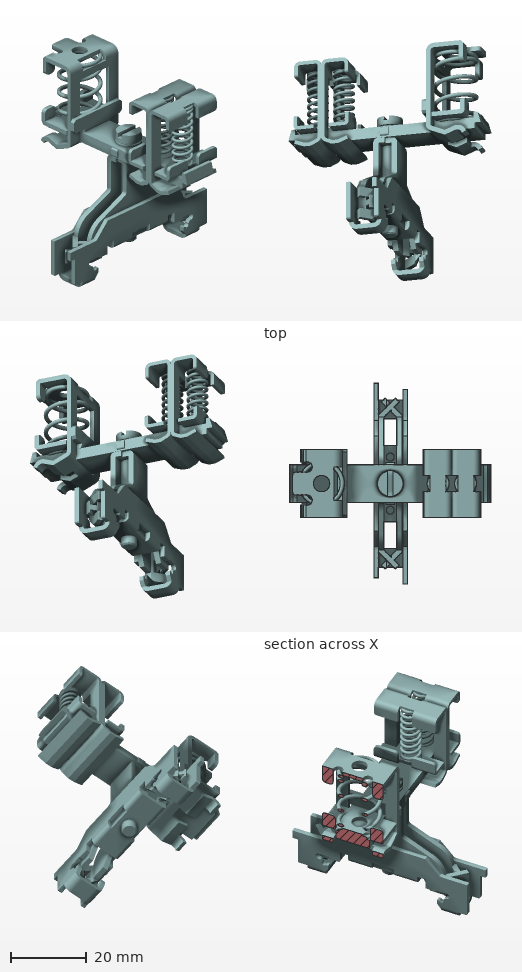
import cadquery as cq
import math


BAR_HALF_LENGTH = 26.5
BAR_HALF_BODY = 24.85
BAR_WIDTH = 10.0
BAR_BOTTOM = 31.0
BAR_TOP = 34.0
HOOK_TOP = 35.5
HOOK_LEDGE = 32.55
HOOK_INNER = 24.6
HOOK_CREST = 25.65

CLAMP_WIDTH = 18.0
WINDOW_HALF_WIDTH = 5.5
WINDOW_BOTTOM = BAR_BOTTOM - 0.1
PAD_NECK_WIDTH = 10.0

LARGE_SHEET = 1.25
LARGE_WALL_X = -13.25
LARGE_TOP = 54.45
LARGE_SPRING_X = -18.1

TWIN_SHEET = 1.0
TWIN_CENTER_X = 16.26
TWIN_TOP = 52.9
TWIN_SPRING_OFFSET = 3.62
TWIN_NOTCH_WIDTH = 4.2

SCREW_DIAMETER = 4.2
SCREW_TIP = 5.0
HEAD_DIAMETER = 7.05
HEAD_TOP_DIAMETER = 6.75
HEAD_TOP = 37.45
HEAD_BOTTOM = 35.0

BRACKET_HALF_WIDTH = 3.13
BRACKET_SHEET = 1.45

FRAME_CENTER_X = 0.1
FRAME_WIDTH = 8.9
FRAME_WEB_BOTTOM = 7.4
WEB_END = 10.1
FRAME_EDGE = 9.84
FRAME_SHOULDER = 12.35
FRAME_EAR_TIP = 26.5
FRAME_END = 24.87

SHARP = 0
FULL = 80.0


def block(x0, x1, y0, y1, z0, z1):
    """Box between two opposite corners."""
    return cq.Workplane("XY").box(x1 - x0, y1 - y0, z1 - z0, centered=False).translate((x0, y0, z0))


def cylinder(x, y, z0, z1, diameter):
    return cq.Workplane("XY", origin=(x, y, z0)).circle(diameter / 2).extrude(z1 - z0)


def strip_side(path, radii, offset):
    """One face line of a bent strip: start point, then line ends and arc (middle, end) pairs."""
    pieces = []
    headings = [math.atan2(b[1] - a[1], b[0] - a[0]) for a, b in zip(path, path[1:])]

    def beside(point, heading, distance):
        return (point[0] - distance * math.sin(heading), point[1] + distance * math.cos(heading))

    pieces.append([beside(path[0], headings[0], offset)])
    for corner, radius, before, after in zip(path[1:], radii, headings, headings[1:]):
        turn = math.remainder(after - before, 2 * math.pi)
        if radius == SHARP:
            middle = before + turn / 2
            pieces.append([beside(corner, middle, offset / math.cos(turn / 2))])
            continue
        setback = radius * math.tan(abs(turn) / 2)
        start = (corner[0] - setback * math.cos(before), corner[1] - setback * math.sin(before))
        center = beside(start, before, math.copysign(radius, turn))
        to_face = offset - math.copysign(radius, turn)
        arc = [beside(center, before + turn * share, to_face) for share in (0, 0.5, 1)]
        pieces.append(arc)
    pieces.append([beside(path[-1], headings[-1], offset)])
    return pieces


def bent_strip(path, radii, thickness, width):
    """Bent sheet strip: mid-line path in XZ with one bend radius per corner, centred on Y = 0."""
    left = strip_side(path, radii, thickness / 2)
    right = [piece[::-1] for piece in strip_side(path, radii, -thickness / 2)[::-1]]
    sketch = cq.Workplane("XZ").moveTo(*left[0][0])
    for piece in left[1:] + right:
        sketch = sketch.lineTo(*piece[0])
        if len(piece) > 1:
            sketch = sketch.threePointArc(piece[1], piece[2])
    return sketch.close().extrude(width / 2, both=True)


def side_tabs(x0, x1, z0, z1, inner_y, corner, rounded):
    """Two ears at the ends of the clamp width, with their free corners rounded."""
    outer_y = CLAMP_WIDTH / 2
    ear = block(x0, x1, inner_y, outer_y, z0, z1).edges("|X and " + rounded).fillet(corner)
    return ear.union(ear.mirror("XZ"))


def coil_spring(z_low, z_high, mean_radius, wire, pitch, phase_height):
    """Right-handed coil about Z with flat end rings; the coil passes +X at phase_height."""
    height = z_high - z_low
    start_angle = 360 * (z_low - phase_height) / pitch
    helix = cq.Workplane(obj=cq.Wire.makeHelix(pitch, height, mean_radius))
    coil = cq.Workplane("XZ", origin=(mean_radius, 0, 0)).circle(wire / 2).sweep(helix, isFrenet=True)
    coil = coil.rotate((0, 0, 0), (0, 0, 1), start_angle)
    ring = cq.Workplane(obj=cq.Solid.makeTorus(mean_radius, wire / 2))
    spring = coil.union(ring, clean=False).union(ring.translate((0, 0, height)), clean=False)
    return spring.translate((0, 0, z_low))


def bar():
    half = [
        (BAR_HALF_BODY, BAR_BOTTOM),
        (BAR_HALF_BODY, HOOK_LEDGE),
        (BAR_HALF_LENGTH, HOOK_LEDGE),
        (HOOK_CREST, HOOK_TOP),
        (HOOK_INNER, HOOK_TOP),
        (HOOK_INNER, BAR_TOP),
    ]
    outline = half + [(-x, z) for x, z in reversed(half)]
    return cq.Workplane("XZ").polyline(outline).close().extrude(BAR_WIDTH / 2, both=True)


def screw():
    neck_diameter = 6.0
    washer_top = BAR_TOP + 0.6
    slot_width = 1.4
    slot_depth = 1.2
    tip_chamfer = 0.4
    shank = cylinder(0, 0, SCREW_TIP, BAR_TOP, SCREW_DIAMETER).faces("<Z").chamfer(tip_chamfer)
    washer = cylinder(0, 0, BAR_TOP, washer_top, HEAD_DIAMETER)
    neck = cylinder(0, 0, washer_top, HEAD_BOTTOM, neck_diameter)
    head_height = HEAD_TOP - HEAD_BOTTOM
    taper = math.degrees(math.atan2((HEAD_DIAMETER - HEAD_TOP_DIAMETER) / 2, head_height))
    head = cq.Workplane("XY", origin=(0, 0, HEAD_BOTTOM)).circle(HEAD_DIAMETER / 2)
    head = head.extrude(head_height, taper=taper)
    slot = block(-slot_width / 2, slot_width / 2, -FULL, FULL, HEAD_TOP - slot_depth, HEAD_TOP)
    return shank.union(washer).union(neck).union(head.cut(slot))


LARGE_TONGUE_TIP = -25.8
LARGE_TONGUE_HALF = 3.0
LARGE_EAR_X = -22.9
LARGE_EAR_INNER_Y = 5.7
LARGE_EAR_BOTTOM = 48.9
LARGE_HOLE = 4.3


def large_clamp():
    mid_top = LARGE_TOP - LARGE_SHEET / 2
    wall_top_inside = LARGE_TOP - LARGE_SHEET
    window_top = 49.7
    window_depth = 1.3 * LARGE_SHEET
    ear_corner = 1.2
    ear_bend = 1.1
    tongue_corner = 0.85
    wall_outer = LARGE_WALL_X + LARGE_SHEET / 2
    path = [
        (LARGE_EAR_X + LARGE_SHEET / 2, mid_top),
        (LARGE_WALL_X, mid_top),
        (LARGE_WALL_X, 31.1),
        (-17.85, 29.2),
        (-20.85, 30.3),
        (-22.4, 30.3),
        (-23.1, 28.9),
    ]
    top_bend = 1.6
    leg_bend = 1.3
    curl_bend = 1.9
    body = bent_strip(path, [top_bend, leg_bend, SHARP, SHARP, curl_bend], LARGE_SHEET, CLAMP_WIDTH)

    relief_width = LARGE_EAR_INNER_Y - LARGE_TONGUE_HALF
    relief_middle = LARGE_TONGUE_HALF + relief_width / 2
    relief_end = -20.6
    for side in (-1, 1):
        slot = cylinder(relief_end - relief_width / 2, side * relief_middle,
                        wall_top_inside, LARGE_TOP, relief_width)
        slot = slot.union(block(LARGE_TONGUE_TIP, relief_end - relief_width / 2,
                                side * relief_middle - relief_width / 2,
                                side * relief_middle + relief_width / 2, wall_top_inside, LARGE_TOP))
        body = body.cut(slot)

    tongue = block(LARGE_TONGUE_TIP, relief_end, -LARGE_TONGUE_HALF, LARGE_TONGUE_HALF,
                   wall_top_inside, LARGE_TOP).edges("|Z and <X").fillet(tongue_corner)
    ears = side_tabs(LARGE_EAR_X, LARGE_EAR_X + LARGE_SHEET, LARGE_EAR_BOTTOM, LARGE_TOP,
                     LARGE_EAR_INNER_Y, ear_corner, "<Z")
    ears = ears.edges("|Y and >Z and <X").fillet(ear_bend)
    body = body.union(tongue).union(ears)

    body = body.cut(block(wall_outer - window_depth, wall_outer, -WINDOW_HALF_WIDTH, WINDOW_HALF_WIDTH,
                          WINDOW_BOTTOM, window_top))
    bend_slot_half = 4.4
    bend_slot_inner = -14.85
    bend_slot_bottom = 51.9
    body = body.cut(block(bend_slot_inner, wall_outer, -bend_slot_half, bend_slot_half,
                          bend_slot_bottom, LARGE_TOP))
    body = body.cut(cylinder(LARGE_SPRING_X, 0, wall_top_inside, LARGE_TOP, LARGE_HOLE))

    leg_tip = -24.5
    leg_middle_end = -20.7
    leg_slot_half = 1.65
    leg_slot_end = -15.5
    leg_bottom = 28.0
    body = body.cut(block(leg_tip, leg_middle_end, -LARGE_EAR_INNER_Y, LARGE_EAR_INNER_Y,
                          leg_bottom, BAR_BOTTOM))
    return body.cut(block(leg_tip, leg_slot_end, -leg_slot_half, leg_slot_half, leg_bottom, BAR_BOTTOM))


def large_pad():
    top = BAR_TOP + LARGE_SHEET
    ear_x = -23.3
    ear_inner_y = 5.07
    ear_top = 38.55
    body_end = -14.2
    flange_x = -12.65
    flange_top = 39.2
    flange_bottom = 35.3
    flange_corner = 0.7
    tongue_tip = -24.55
    tongue_half = 3.2
    corner = 1.0
    ear_bend = 1.1
    flange_bend = 1.0
    relief_diameter = 2.0
    half = CLAMP_WIDTH / 2
    plate = block(ear_x + LARGE_SHEET, body_end, -half, half, BAR_TOP, top)
    plate = plate.union(block(tongue_tip, body_end, -tongue_half, tongue_half, BAR_TOP, top)
                        .edges("|Z and <X").fillet(corner))
    ears = side_tabs(ear_x, ear_x + LARGE_SHEET, BAR_TOP, ear_top, ear_inner_y, corner, ">Z")
    ears = ears.edges("|Y and <Z and <X").fillet(ear_bend)
    plate = plate.union(ears)
    for side in (-1, 1):
        plate = plate.cut(cylinder(ear_x + LARGE_SHEET, side * (ear_inner_y - relief_diameter / 2),
                                   BAR_TOP, top, relief_diameter))
    neck_half = PAD_NECK_WIDTH / 2
    neck = block(body_end, flange_x + LARGE_SHEET, -neck_half, neck_half, BAR_TOP, top)
    flange = block(flange_x, flange_x + LARGE_SHEET, -half, half, flange_bottom, flange_top)
    flange = flange.edges("|X").chamfer(flange_corner)
    rise = block(flange_x, flange_x + LARGE_SHEET, -neck_half, neck_half, BAR_TOP, flange_top)
    rise = rise.edges("|Y and <Z and >X").fillet(flange_bend)
    neck = neck.edges("|Y and <Z and >X").fillet(flange_bend)
    pad = plate.union(neck).union(rise).union(flange)
    return pad.cut(cylinder(LARGE_SPRING_X, 0, BAR_TOP, top, LARGE_HOLE))


def large_spring():
    wire = 1.15
    mean_radius = 5.47
    pitch = 5.05
    low = BAR_TOP + 0.2
    high = LARGE_TOP - LARGE_SHEET - 0.45
    crossing = 44.15
    spring = coil_spring(low, high, mean_radius, wire, pitch, crossing)
    return spring.translate((LARGE_SPRING_X, 0, 0))


TWIN_EAR_X = 7.42


def twin_clamp():
    """The small clamp on the +X side of the back-to-back plane."""
    wall = TWIN_CENTER_X + TWIN_SHEET / 2
    ear = TWIN_CENTER_X + TWIN_EAR_X - TWIN_SHEET / 2
    mid_top = TWIN_TOP - TWIN_SHEET / 2
    ear_bottom = 48.67
    ear_corner = 0.65
    window_top = 49.2
    bend = 1.1
    path = [
        (ear, ear_bottom),
        (ear, mid_top),
        (wall, mid_top),
        (wall, 30.75),
        (19.2, 29.65),
        (20.9, 29.65),
        (23.5, 30.6),
    ]
    body = bent_strip(path, [bend, bend, bend, SHARP, SHARP], TWIN_SHEET, CLAMP_WIDTH)
    ear_end = cq.selectors.BoxSelector((ear - TWIN_SHEET, -FULL, ear_bottom - 0.1),
                                       (ear + TWIN_SHEET, FULL, ear_bottom + 0.1))
    body = body.edges("|X").edges(ear_end).fillet(ear_corner)
    notch_half = TWIN_NOTCH_WIDTH / 2
    bend_size = bend + TWIN_SHEET / 2
    body = body.cut(block(ear + TWIN_SHEET / 2 - bend_size, FULL, -notch_half, notch_half,
                          ear_bottom, TWIN_TOP))
    body = body.cut(block(TWIN_CENTER_X, TWIN_CENTER_X + bend_size, -notch_half, notch_half,
                          ear_bottom, TWIN_TOP))
    return body.cut(block(TWIN_CENTER_X, TWIN_CENTER_X + TWIN_SHEET, -WINDOW_HALF_WIDTH, WINDOW_HALF_WIDTH,
                          WINDOW_BOTTOM, window_top))


def twin_pad():
    """Pressure pad under the +X small spring, with its half of the neck."""
    ear_outer = TWIN_CENTER_X + 7.6
    ear_top = 37.97
    ear_bend = 0.7
    ear_corner = 1.0
    body_start = TWIN_CENTER_X + 2.1
    notch_half = TWIN_NOTCH_WIDTH / 2
    top = BAR_TOP + TWIN_SHEET
    mid = BAR_TOP + TWIN_SHEET / 2
    pad = bent_strip([(body_start, mid), (ear_outer - TWIN_SHEET / 2, mid),
                      (ear_outer - TWIN_SHEET / 2, ear_top)], [ear_bend], TWIN_SHEET, CLAMP_WIDTH)
    pad = pad.cut(block(ear_outer - TWIN_SHEET - ear_bend / 2, ear_outer, -notch_half, notch_half,
                        BAR_TOP, ear_top))
    pad = pad.edges("|X and >Z").fillet(ear_corner)
    neck = block(TWIN_CENTER_X, body_start, -PAD_NECK_WIDTH / 2, PAD_NECK_WIDTH / 2, BAR_TOP, top)
    return pad.union(neck)


def twin_spring():
    """Small spring about the Z axis."""
    wire = 0.85
    mean_radius = 2.48
    pitch = 2.0
    low = BAR_TOP + TWIN_SHEET
    high = TWIN_TOP - TWIN_SHEET
    crossing = 44.87
    return coil_spring(low, high, mean_radius, wire, pitch, crossing)


def twin_station():
    half = twin_clamp().union(twin_pad())
    return half.union(half.mirror("YZ", (TWIN_CENTER_X, 0, 0)))


ARM_START_Y = 17.53
ARM_TOP = 11.55
ARM_SPLIT_TOP = 9.05
ARM_SPLIT_BOTTOM = 5.6
ARM_BOTTOM = 3.05


def bracket_half_profile(post_half):
    """Outline for +Y, from the frame web up to the top of the post, as a solid for x > 0."""
    web_top = FRAME_WEB_BOTTOM + LARGE_SHEET
    plate_bottom = 5.45
    slope_end = (12.9, 17.0)
    slope_grade = 0.44
    foot_radius = 1.1
    foot = slope_end[1] + slope_grade * (slope_end[0] - post_half)
    foot_edge = cq.selectors.NearestToPointSelector((BRACKET_HALF_WIDTH / 2, post_half, foot))
    return (
        cq.Workplane("YZ")
        .moveTo(0, web_top)
        .lineTo(WEB_END, web_top)
        .lineTo(WEB_END, FRAME_EDGE)
        .lineTo(10.85, FRAME_EDGE)
        .lineTo(13.35, plate_bottom)
        .lineTo(ARM_START_Y, plate_bottom)
        .lineTo(ARM_START_Y, ARM_TOP)
        .lineTo(17.3, 12.5)
        .threePointArc((15.95, 14.95), slope_end)
        .lineTo(post_half, foot)
        .lineTo(post_half, BAR_BOTTOM)
        .lineTo(0, BAR_BOTTOM)
        .close()
        .extrude(BRACKET_HALF_WIDTH)
        .edges(foot_edge)
        .fillet(foot_radius)
    )


def bracket_arms():
    """Arms at the +Y end: a forked arm from the -X plate and a single one from the +X plate."""
    outer = -BRACKET_HALF_WIDTH
    inner = outer + BRACKET_SHEET
    face = 21.2
    back = face - BRACKET_SHEET * math.sqrt(2)
    tip = 23.9
    plan = [
        (outer, ARM_START_Y),
        (inner, ARM_START_Y),
        (inner, back + inner),
        ((tip - back) / 2, (tip + back) / 2),
        ((tip - face) / 2, (tip + face) / 2),
        (outer, face + outer),
    ]
    arm = (
        cq.Workplane("XY", origin=(0, 0, ARM_BOTTOM)).polyline(plan).close().extrude(ARM_TOP - ARM_BOTTOM)
    )
    slope_start = 5.3
    slope_end_x = -1.13
    below = (
        cq.Workplane("XZ")
        .polyline([(outer, ARM_BOTTOM), (slope_end_x, ARM_BOTTOM), (outer, slope_start)])
        .close()
        .extrude(FULL, both=True)
    )
    fork_root_x = -1.2
    notch = block(fork_root_x, FULL, 0, FULL, ARM_SPLIT_BOTTOM, ARM_SPLIT_TOP)
    forked = arm.cut(below).cut(notch)

    root_x = 0.3
    single = arm.mirror("YZ").cut(block(-FULL, root_x, 0, FULL, ARM_SPLIT_TOP, ARM_TOP))
    single = single.cut(block(-FULL, FULL, 0, FULL, ARM_BOTTOM, ARM_SPLIT_BOTTOM))
    neck_depth = 1.0
    neck_start_x = -1.05
    for low in (ARM_SPLIT_BOTTOM, ARM_SPLIT_TOP - neck_depth):
        single = single.cut(block(neck_start_x, root_x, 0, FULL, low, low + neck_depth))
    return forked.union(single)


def inner_bracket():
    bend = 1.2
    inner_x = BRACKET_HALF_WIDTH - BRACKET_SHEET
    sheets = block(-BRACKET_HALF_WIDTH, BRACKET_HALF_WIDTH, -ARM_START_Y, ARM_START_Y, 0, BAR_BOTTOM)
    sheets = sheets.edges("|Y and >Z").fillet(bend)
    sheets = sheets.cut(block(-inner_x, inner_x, -FULL, FULL, 0, BAR_BOTTOM - BRACKET_SHEET))
    wide = bracket_half_profile(4.9)
    narrow = bracket_half_profile(4.05)
    far = wide.union(narrow.mirror("XZ"))
    near = far.rotate((0, 0, 0), (0, 0, 1), 180)
    bracket = sheets.intersect(far.union(near))

    arms = bracket_arms()
    bracket = bracket.union(arms).union(arms.mirror("XZ"))

    tab_half = 1.1
    tab_reach = 5.5
    tab_bottom = 31.4
    tab_top = 33.75
    tab = block(-tab_half, tab_half, -tab_reach, tab_reach, tab_bottom, tab_top)
    tab = tab.edges("|X").fillet(tab_reach - BAR_WIDTH / 2 - 0.05)
    return bracket.union(tab)


def frame_half_plate():
    """The +Y half of a frame plate, thick enough to cut a wall of the channel."""
    top_edge = 16.8
    foot = 2.05
    return (
        cq.Workplane("YZ")
        .moveTo(0, FRAME_EDGE)
        .lineTo(12.55, FRAME_EDGE)
        .lineTo(12.55, 6.85)
        .lineTo(15.5, 6.85)
        .lineTo(15.9, 7.25)
        .lineTo(18.75, 7.25)
        .threePointArc((19.65, 6.35), (18.75, 5.45))
        .lineTo(18.3, 5.35)
        .lineTo(17.85, 4.7)
        .threePointArc((17.75, 4.0), (17.1, 3.7))
        .lineTo(16.6, 4.1)
        .lineTo(16.0, 4.1)
        .lineTo(16.0, 2.9)
        .lineTo(17.05, 1.5)
        .lineTo(17.05, 0)
        .lineTo(22.1, 0)
        .lineTo(22.1, foot)
        .lineTo(24.6, foot)
        .lineTo(FRAME_END, foot + 0.3)
        .lineTo(FRAME_END, FRAME_SHOULDER)
        .lineTo(17.4, FRAME_SHOULDER)
        .lineTo(16.65, FRAME_SHOULDER + 0.15)
        .lineTo(12.5, top_edge)
        .lineTo(0, top_edge)
        .close()
        .extrude(FRAME_WIDTH)
    )


def outer_frame():
    left = FRAME_CENTER_X - FRAME_WIDTH / 2
    right = FRAME_CENTER_X + FRAME_WIDTH / 2
    mid = LARGE_SHEET / 2
    bend = 1.45
    rim = 17.0
    path = [(left + mid, rim), (left + mid, mid), (right - mid, mid), (right - mid, rim)]
    channel = bent_strip(path, [bend, bend], LARGE_SHEET, 2 * FRAME_EAR_TIP)
    half = frame_half_plate()
    ear = block(0, FRAME_WIDTH, -FRAME_EAR_TIP, -FRAME_END, FRAME_EDGE, FRAME_SHOULDER)
    plate = half.union(half.mirror("XZ")).union(ear)
    far = plate.translate((FRAME_CENTER_X, 0, 0))
    near = plate.rotate((0, 0, 0), (0, 0, 1), 180).translate((FRAME_CENTER_X, 0, 0))
    frame = channel.intersect(far.union(near))

    web_mid = FRAME_WEB_BOTTOM + mid
    web_path = [
        (left + mid, FRAME_EDGE),
        (left + mid, web_mid),
        (right - mid, web_mid),
        (right - mid, FRAME_EDGE),
    ]
    web_bend = 0.65
    web = bent_strip(web_path, [web_bend, web_bend], LARGE_SHEET, 2 * WEB_END)
    window_half = 3.3
    for x in (left, right - LARGE_SHEET):
        web = web.cut(block(x, x + LARGE_SHEET, -window_half, window_half, FRAME_WEB_BOTTOM, FRAME_EDGE))
    hole_y = 7.0
    hole_diameter = 2.1
    for y in (-hole_y, hole_y):
        web = web.cut(cylinder(0, y, web_mid, FRAME_EDGE, hole_diameter))
    return frame.union(web)


result = bar()
for part in (screw(), inner_bracket(), outer_frame(), large_clamp(), large_pad(), twin_station()):
    result = result.union(part)

small_spring = twin_spring()
springs = [large_spring()]
for side in (-1, 1):
    springs.append(small_spring.translate((TWIN_CENTER_X + side * TWIN_SPRING_OFFSET, 0, 0)))
for spring in springs:
    result = result.union(spring, clean=False)